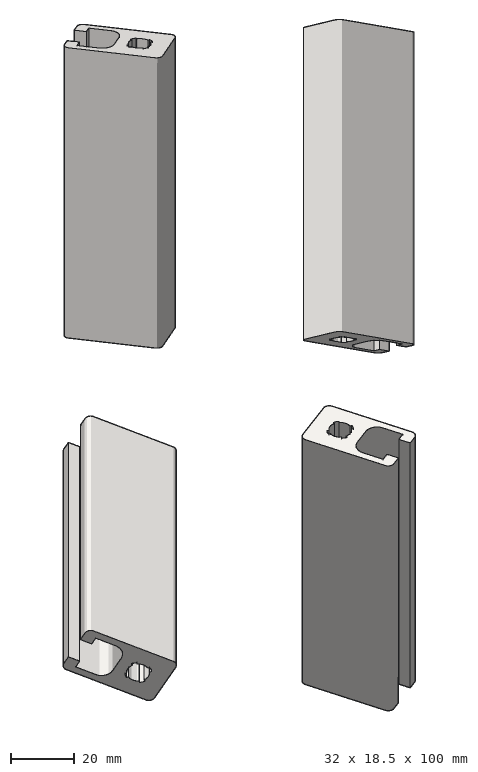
import cadquery as cq
import math

width = 32.0
depth = 18.5
length = 100.0
corner_radius = 2.0

lip_thickness = 4.0
opening_width = 8.2
pocket_width = 13.7
slot_depth = 15.0
pocket_radius = 4.0

hole_offset = 22.5
hole_radius = 3.6
lobe_radius = 4.2
lobe_half_angle = 13.0

left = -width / 2
hole_x = left + hole_offset


def body():
    """Rectangular bar with rounded long edges."""
    return cq.Workplane("XY").rect(width, depth).extrude(length).edges("|Z").fillet(corner_radius)


def slot():
    """Narrow mouth leading into a wider pocket with a rounded floor."""
    mouth = (
        cq.Workplane("XY")
        .center(left + lip_thickness / 2, 0)
        .rect(lip_thickness, opening_width)
        .extrude(length)
    )
    pocket_length = slot_depth - lip_thickness
    pocket = (
        cq.Workplane("XY")
        .center(left + lip_thickness + pocket_length / 2, 0)
        .rect(pocket_length, pocket_width)
        .extrude(length)
        .edges("|Z and >X")
        .fillet(pocket_radius)
    )
    return mouth.union(pocket)


def lobe(direction):
    """Circular sector centred on the hole and pointing along an angle in degrees."""
    def rim(angle):
        radians = math.radians(angle)
        return (lobe_radius * math.cos(radians), lobe_radius * math.sin(radians))

    return (
        cq.Workplane("XY")
        .center(hole_x, 0)
        .lineTo(*rim(direction - lobe_half_angle))
        .threePointArc(rim(direction), rim(direction + lobe_half_angle))
        .close()
        .extrude(length)
    )


def core_hole():
    """Round through hole widened by the four lobes."""
    hole = cq.Workplane("XY").center(hole_x, 0).circle(hole_radius).extrude(length)
    for direction in (45, 135, 225, 315):
        hole = hole.union(lobe(direction))
    return hole


result = body().cut(slot()).cut(core_hole())